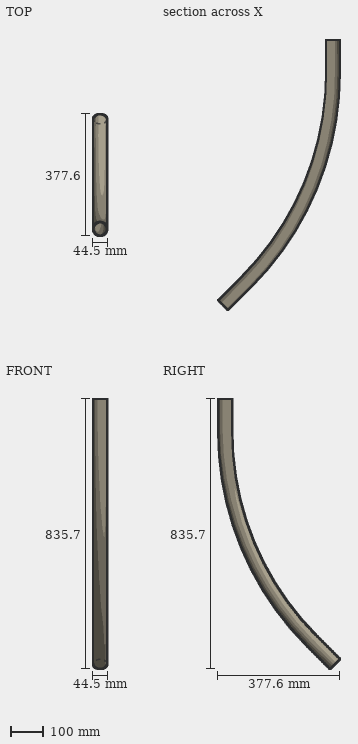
import cadquery as cq
import math

OUTER_DIAMETER = 44.45
INNER_DIAMETER = 40.23
BEND_RADIUS = 914.4
BEND_ANGLE = 45.0
STRAIGHT_LENGTH = 101.6


def bend_point(angle_degrees):
    """Centreline point (y, z) on the bend, measured from its upper end."""
    angle = math.radians(angle_degrees)
    return BEND_RADIUS * (1 - math.cos(angle)), -BEND_RADIUS * math.sin(angle)


def centreline():
    """Vertical tangent, then an arc curving down towards +Y, then a sloping tangent."""
    end_y, end_z = bend_point(BEND_ANGLE)
    slope = math.radians(BEND_ANGLE)
    lower_end = (
        end_y + STRAIGHT_LENGTH * math.sin(slope),
        end_z - STRAIGHT_LENGTH * math.cos(slope),
    )
    return (
        cq.Workplane("YZ")
        .moveTo(0, STRAIGHT_LENGTH)
        .lineTo(0, 0)
        .threePointArc(bend_point(BEND_ANGLE / 2), (end_y, end_z))
        .lineTo(*lower_end)
    )


def bent_tube():
    """Ring section swept along the centreline, leaving the bore open at both ends."""
    return (
        cq.Workplane("XY", origin=(0, 0, STRAIGHT_LENGTH))
        .circle(OUTER_DIAMETER / 2)
        .circle(INNER_DIAMETER / 2)
        .sweep(centreline())
    )


result = bent_tube()